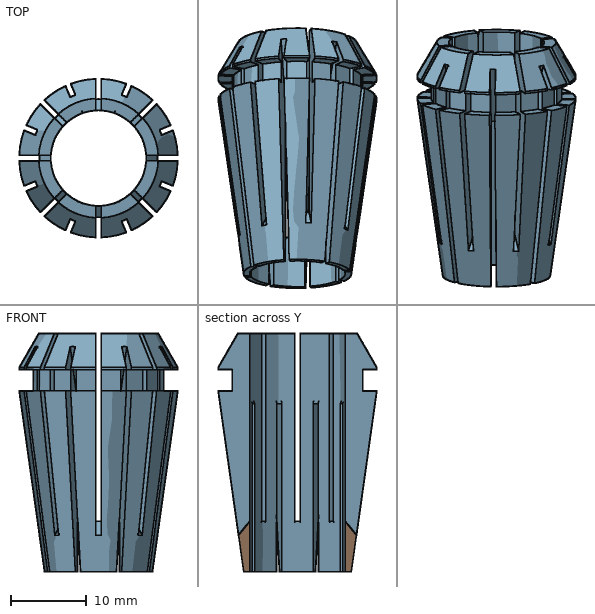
import cadquery as cq
import math

length = 31.5
max_radius = 10.5

taper_top = 23.9
taper_angle = 8.0
head_bottom = 26.7
head_rim_height = 0.28
head_angle = 30.0
neck_radius = 8.63
bore_radius = 6.3

slots_per_end = 8
slot_pitch = 360.0 / slots_per_end
slot_width = 0.72
upper_slot_outer_end = 4.85
upper_slot_inner_end = 6.7
lower_slot_outer_end = 29.77
lower_slot_inner_end = 22.2
clearance = 0.95

head_rim_top = head_bottom + head_rim_height
taper_slope = math.tan(math.radians(taper_angle))
head_slope = math.tan(math.radians(head_angle))


def taper_radius(z):
    """Outer radius of the lower taper at height z."""
    return max_radius - (taper_top - z) * taper_slope


def head_radius(z):
    """Outer radius of the head's cone at height z."""
    return max_radius - (z - head_rim_top) * head_slope


def make_body():
    """Bored body of revolution before slotting."""
    return (
        cq.Workplane("XZ")
        .moveTo(bore_radius, 0)
        .lineTo(taper_radius(0), 0)
        .lineTo(max_radius, taper_top)
        .lineTo(neck_radius, taper_top)
        .lineTo(neck_radius, head_bottom)
        .lineTo(max_radius, head_bottom)
        .lineTo(max_radius, head_rim_top)
        .lineTo(head_radius(length), length)
        .lineTo(bore_radius, length)
        .close()
        .revolve(360, (0, 0, 0), (0, 1, 0))
    )


def make_slot(inner_z, outer_radius, outer_z, open_z):
    """Radial slot cutter, open at open_z, whose end slopes from the bore wall to the outer surface."""
    slope = (outer_z - inner_z) / (outer_radius - bore_radius)
    start = bore_radius - clearance
    stop = max_radius + clearance
    return (
        cq.Workplane("XZ")
        .moveTo(start, inner_z - slope * clearance)
        .lineTo(stop, inner_z + slope * (stop - bore_radius))
        .lineTo(stop, open_z)
        .lineTo(start, open_z)
        .close()
        .extrude(slot_width / 2, both=True)
    )


def cut_around(body, slot, first_angle):
    """Cut a slot at every pitch position around the axis."""
    for index in range(slots_per_end):
        body = body.cut(slot.rotate((0, 0, 0), (0, 0, 1), first_angle + index * slot_pitch))
    return body


upper_slot = make_slot(
    upper_slot_inner_end,
    taper_radius(upper_slot_outer_end),
    upper_slot_outer_end,
    length + clearance,
)
lower_slot = make_slot(
    lower_slot_inner_end,
    head_radius(lower_slot_outer_end),
    lower_slot_outer_end,
    -clearance,
)

result = make_body()
result = cut_around(result, upper_slot, 0)
result = cut_around(result, lower_slot, slot_pitch / 2)